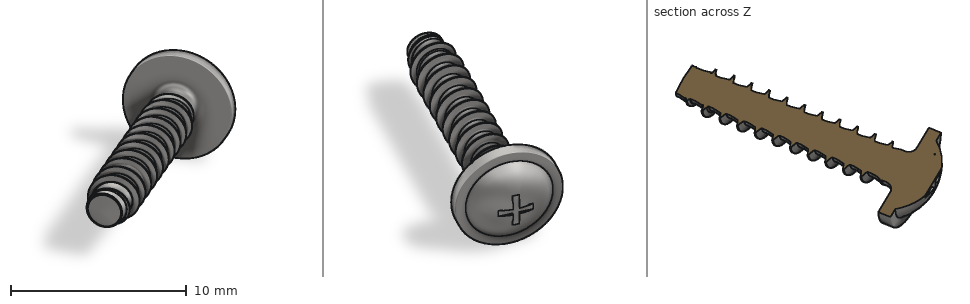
import cadquery as cq
import math


FLANGE_RADIUS = 3.25
FLANGE_THICKNESS = 0.8
FLANGE_EDGE_FILLET = 0.06
HEAD_HEIGHT = 2.08
DOME_BASE_RADIUS = 2.63
SLOT_WIDTH = 0.4
SLOT_DEPTH = 0.17

SHANK_LENGTH = 14.0
NECK_RADIUS = 1.2
NECK_FILLET = 0.5
NECK_END_DEPTH = 0.76
NECK_CONE_END_DEPTH = 1.4
CORE_RADIUS = 1.05
TIP_CONE_HEIGHT = 0.05
TIP_RIM_RADIUS = 0.98
TIP_CHAMFER_HEIGHT = 0.03

PITCH = 1.12
CREST_RADIUS = 1.5
CREST_HALF_WIDTH = 0.04
CREST_DEPTH_AT_TOP = 2.234
THREAD_START_DEPTH = 0.6
THREAD_FULL_DEPTH = 1.5
THREAD_FADE_DEPTH = 12.28
THREAD_END_DEPTH = 13.85
START_CREST_RADIUS = 1.17
END_CREST_RADIUS = 1.045
BASE_RADIUS = 0.98
ANCHOR_RADIUS = 0.8

FLANK_FOOT_OFFSET = -0.25
ROOT_END_OFFSET = 0.80
THREAD_SECTION = [
    (FLANK_FOOT_OFFSET, ANCHOR_RADIUS),
    (FLANK_FOOT_OFFSET, BASE_RADIUS),
    (-0.14, 1.17),
    (-CREST_HALF_WIDTH, CREST_RADIUS),
    (CREST_HALF_WIDTH, CREST_RADIUS),
    (0.16, 1.145),
    (ROOT_END_OFFSET, 1.02),
    (ROOT_END_OFFSET, ANCHOR_RADIUS),
]
POINTS_PER_TURN = 16


def make_head():
    """Turned shape of dome, flange and neck, down to the end of the neck cone."""
    dome_height = HEAD_HEIGHT - FLANGE_THICKNESS
    dome_sphere_radius = (DOME_BASE_RADIUS**2 + dome_height**2) / (2 * dome_height)
    dome_mid_x = DOME_BASE_RADIUS / 2
    dome_mid_y = HEAD_HEIGHT - dome_sphere_radius + math.sqrt(dome_sphere_radius**2 - dome_mid_x**2)
    fillet_inset = NECK_FILLET * (1 - math.sqrt(0.5))
    flange_edge = FLANGE_EDGE_FILLET
    return (
        cq.Workplane("XY")
        .moveTo(0, HEAD_HEIGHT)
        .threePointArc((dome_mid_x, dome_mid_y), (DOME_BASE_RADIUS, FLANGE_THICKNESS))
        .lineTo(FLANGE_RADIUS - flange_edge, FLANGE_THICKNESS)
        .tangentArcPoint((flange_edge, -flange_edge))
        .lineTo(FLANGE_RADIUS, flange_edge)
        .tangentArcPoint((-flange_edge, -flange_edge))
        .lineTo(NECK_RADIUS + NECK_FILLET, 0)
        .threePointArc((NECK_RADIUS + fillet_inset, -fillet_inset), (NECK_RADIUS, -NECK_FILLET))
        .lineTo(NECK_RADIUS, -NECK_END_DEPTH)
        .lineTo(CORE_RADIUS, -NECK_CONE_END_DEPTH)
        .lineTo(0, -NECK_CONE_END_DEPTH)
        .close()
        .revolve(360, (0, 0, 0), (0, 1, 0))
    )


def make_core():
    """Plain cylinder that carries the thread and starts inside the neck."""
    return (
        cq.Workplane("XZ", origin=(0, -NECK_FILLET, 0))
        .circle(CORE_RADIUS)
        .extrude(SHANK_LENGTH - NECK_FILLET)
    )


def make_drive_slots():
    """Two crossed slots over the top of the dome."""
    slot_length = 2 * DOME_BASE_RADIUS
    slot_floor = HEAD_HEIGHT - SLOT_DEPTH
    slot = (
        cq.Workplane("XZ", origin=(0, slot_floor, 0))
        .rect(slot_length, SLOT_WIDTH)
        .extrude(-2 * SLOT_DEPTH)
    )
    return slot.union(slot.rotate((0, 0, 0), (0, 1, 0), 90))


def crest_radius(depth):
    """Crest radius, rising at the thread start and falling toward the tip."""
    if depth < THREAD_FULL_DEPTH:
        part = (depth - THREAD_START_DEPTH) / (THREAD_FULL_DEPTH - THREAD_START_DEPTH)
        return START_CREST_RADIUS + part * (CREST_RADIUS - START_CREST_RADIUS)
    if depth > THREAD_FADE_DEPTH:
        part = (depth - THREAD_FADE_DEPTH) / (THREAD_END_DEPTH - THREAD_FADE_DEPTH)
        return CREST_RADIUS + part * (END_CREST_RADIUS - CREST_RADIUS)
    return CREST_RADIUS


def thread_point(section_corner, depth):
    """Place one corner of the thread section where the crest lies at the given depth.

    The crest and head-side flank shrink toward both ends; the sloping root keeps its radius
    unless the crest drops below it.
    """
    offset, radius = section_corner
    if offset > CREST_HALF_WIDTH:
        radius = min(radius, crest_radius(depth))
    elif radius > BASE_RADIUS:
        height_scale = (crest_radius(depth) - BASE_RADIUS) / (CREST_RADIUS - BASE_RADIUS)
        radius = BASE_RADIUS + height_scale * (radius - BASE_RADIUS)
    angle = 2 * math.pi * (depth - CREST_DEPTH_AT_TOP) / PITCH
    return cq.Vector(-radius * math.sin(angle), -(depth + offset), radius * math.cos(angle))


def make_thread():
    """Solid helical ridge: ruled faces between the corner helices, closed by two flat ends."""
    thread_depth = THREAD_END_DEPTH - THREAD_START_DEPTH
    steps = math.ceil(thread_depth / PITCH * POINTS_PER_TURN)
    depths = [THREAD_START_DEPTH + thread_depth * i / steps for i in range(steps + 1)]
    helices = [
        cq.Edge.makeSpline([thread_point(corner, depth) for depth in depths])
        for corner in THREAD_SECTION
    ]
    faces = [
        cq.Face.makeRuledSurface(helix, helices[(i + 1) % len(helices)])
        for i, helix in enumerate(helices)
    ]
    for depth in (THREAD_START_DEPTH, THREAD_END_DEPTH):
        corners = [thread_point(corner, depth) for corner in THREAD_SECTION]
        faces.append(cq.Face.makeFromWires(cq.Wire.makePolygon(corners, close=True)))
    return cq.Workplane(cq.Solid.makeSolid(cq.Shell.makeShell(faces)))


def make_tip_space():
    """Space around and beyond the tip, used to shape the tip and trim the end of the thread."""
    rim_y = TIP_CONE_HEIGHT - SHANK_LENGTH
    chamfer_y = rim_y + TIP_CHAMFER_HEIGHT
    beyond_y = -SHANK_LENGTH - PITCH
    return (
        cq.Workplane("XY")
        .moveTo(0, -SHANK_LENGTH)
        .lineTo(TIP_RIM_RADIUS, rim_y)
        .lineTo(CORE_RADIUS, chamfer_y)
        .lineTo(FLANGE_RADIUS, chamfer_y)
        .lineTo(FLANGE_RADIUS, beyond_y)
        .lineTo(0, beyond_y)
        .close()
        .revolve(360, (0, 0, 0), (0, 1, 0))
    )


threaded_shank = make_core().union(make_thread()).cut(make_tip_space())
result = make_head().cut(make_drive_slots()).union(threaded_shank)